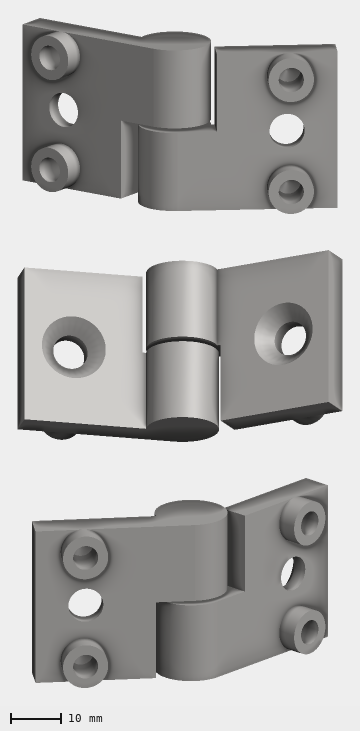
import cadquery as cq
import math

knuckle_radius = 7.25
knuckle_height = 16.0
knuckle_gap = 0.95

leaf_length = 31.9
leaf_thickness = 6.0
leaf_height = 2 * knuckle_height
notch_reach = 7.9
outer_face = -knuckle_radius
inner_face = outer_face + leaf_thickness

boss_diameter = 9.0
boss_height = 4.05
boss_reach = 22.35
boss_spacing = leaf_height - boss_diameter
boss_hole_diameter = 5.0
boss_hole_depth = 8.0
drill_tip_angle = 120.0

screw_hole_diameter = 7.0
countersink_diameter = 13.0
countersink_angle = 90.0
screw_hole_reach = 21.8

left_leaf_angle = 10.9
right_leaf_angle = 29.1


def cone_height(base_diameter, tip_diameter, angle):
    """Height of a cone frustum with the given included angle."""
    return (base_diameter - tip_diameter) / 2 / math.tan(math.radians(angle / 2))


def make_plate():
    """Plate along +X that reaches the hinge axis only in its lower half."""
    lower_half = cq.Workplane("XY").box(
        leaf_length, leaf_thickness, knuckle_height, centered=False
    ).translate((0, outer_face, -knuckle_height))
    upper_half = cq.Workplane("XY").box(
        leaf_length - notch_reach, leaf_thickness, knuckle_height, centered=False
    ).translate((notch_reach, outer_face, 0))
    return lower_half.union(upper_half)


def make_knuckle():
    """Solid round knuckle on the lower half of the leaf."""
    return cq.Workplane("XY").circle(knuckle_radius).extrude(-knuckle_height)


def add_boss(leaf, height):
    """Add one boss on the outer face and drill its blind hole."""
    boss_end = outer_face - boss_height
    boss = (
        cq.Workplane("XZ", origin=(boss_reach, outer_face, height))
        .circle(boss_diameter / 2)
        .extrude(boss_height)
    )
    tip_height = cone_height(boss_hole_diameter, 0, drill_tip_angle)
    hole_radius = boss_hole_diameter / 2
    drill = (
        cq.Workplane("XY", origin=(boss_reach, boss_end, height))
        .lineTo(hole_radius, 0)
        .lineTo(hole_radius, boss_hole_depth)
        .lineTo(0, boss_hole_depth + tip_height)
        .close()
        .revolve(360, (0, 0), (0, 1))
    )
    return leaf.union(boss).cut(drill)


def cut_screw_hole(leaf):
    """Cut the through hole, countersunk from the inner face."""
    sink_depth = cone_height(countersink_diameter, screw_hole_diameter, countersink_angle)
    hole_radius = screw_hole_diameter / 2
    cutter = (
        cq.Workplane("XY", origin=(screw_hole_reach, inner_face, 0))
        .lineTo(countersink_diameter / 2, 0)
        .lineTo(hole_radius, -sink_depth)
        .lineTo(hole_radius, -leaf_thickness)
        .lineTo(0, -leaf_thickness)
        .close()
        .revolve(360, (0, 0), (0, 1))
    )
    return leaf.cut(cutter)


def make_leaf():
    """Hinge leaf along +X, with its knuckle in the lower half and its mid height at Z = 0."""
    leaf = make_plate().union(make_knuckle())
    for height in (-boss_spacing / 2, boss_spacing / 2):
        leaf = add_boss(leaf, height)
    return cut_screw_hole(leaf)


def swing(leaf, angle):
    """Turn a leaf about the hinge axis."""
    return leaf.rotate((0, 0, 0), (0, 0, 1), angle)


right_leaf = swing(make_leaf(), right_leaf_angle).translate((0, 0, -knuckle_gap / 2))
turned_leaf = make_leaf().rotate((0, 0, 0), (0, 1, 0), 180)
left_leaf = swing(turned_leaf, -left_leaf_angle).translate((0, 0, knuckle_gap / 2))

result = cq.Compound.makeCompound([left_leaf.solids().val(), right_leaf.solids().val()])